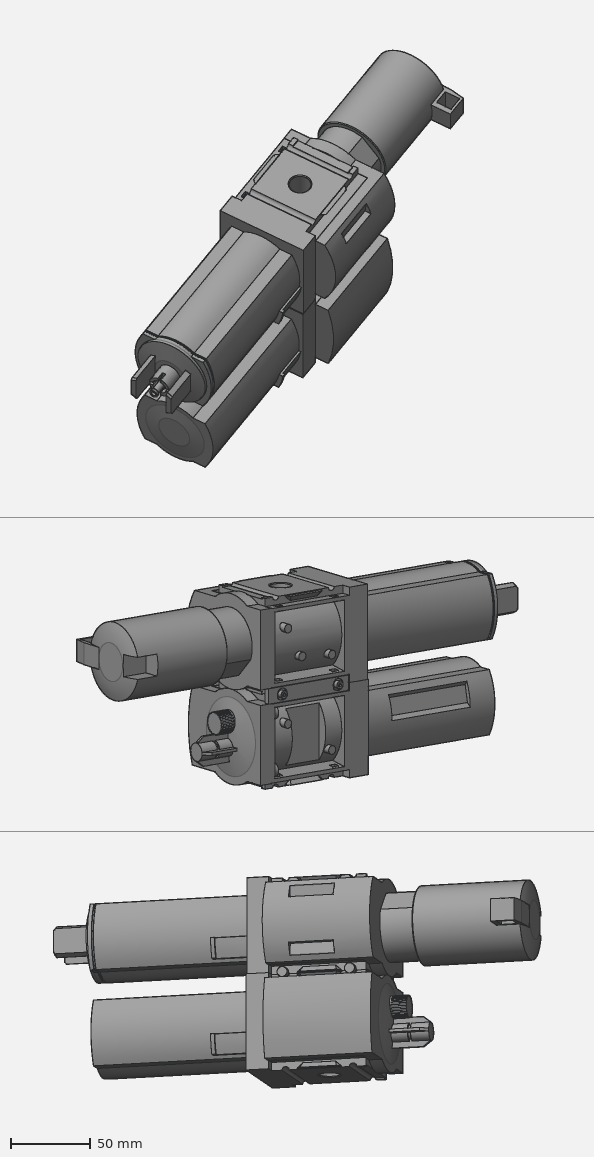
import cadquery as cq
import math


total_height = 124.0
unit_height = total_height / 2
half_height = unit_height / 2
housing_width = 62.0
half_width = housing_width / 2
housing_back = 85.0
front_block_end = 14.5
back_plate_start = 76.0
back_plate_drop = 5.0
side_strip_drop = 5.3
flange_radius = half_height
lower_front_step = 0.5

port_y = 45.5
port_half_width = 24.0
port_diameter = 13.7
port_mouth_diameter = 15.0
port_depth = 18.7
groove_half_width = 2.35
groove_depth = 2.2
groove_spacing = 44.3
groove_positions = [port_y - groove_spacing / 2, port_y + groove_spacing / 2]
rail_gap_half_width = 20.5
rail_gap_drop = 1.0
rail_gap_front = 70.0
tab_width = 3.0
tab_drop = 0.5
tab_depth = 3.5
tab_half_length = 14.7
tab_bevel = 2.5
screw_slot_start_x = -28.5
screw_slot_end_x = -25.0

barrel_half_width = 28.5
barrel_corner_x = 22.5
barrel_half_height = 21.2
tube_diameter = 50.2
tube_radius = tube_diameter / 2
barrel_bulge = barrel_half_width - barrel_corner_x
barrel_arc_radius = (barrel_half_height**2 + barrel_bulge**2) / (2 * barrel_bulge)
barrel_arc_offset = barrel_arc_radius - barrel_half_width

pocket_front = 18.5
pocket_back = 73.5
pocket_half_height = 23.0
core_radius = 28.5
core_half_height = 21.2
core_edge_x = math.sqrt(core_radius**2 - core_half_height**2)
pin_diameter = 5.5
upper_pin_places = [(63.0, 11.0), (51.8, -8.7), (28.0, -11.0)]
lower_pin_places = [(63.0, 11.0), (28.0, -11.0)]
label_front = 31.2
label_back = 57.7
label_half_height = 18.5
lug_radius = 4.5
lug_length = 3.7
lug_offset = 18.7
lug_depth = 5.3

cover_half_height = half_height - back_plate_drop
upper_cover_edge, upper_cover_crown = 38.0, 46.2
lower_cover_edge, lower_cover_crown = 40.5, 44.5
window_half_length = 14.7
window_inner_x = 40.3
window_floor = 14.7
window_top = 22.0
window_undercut = 1.0

latch_length = 24.0
latch_thickness = 1.5
catch_length = 2.5
catch_thickness = 2.8
latch_low = -19.0
latch_high = -6.2

upper_bowl_length = 105.5
rim_groove_y = -103.0
rim_groove_width = 1.2
rim_groove_depth = 1.0
rim_end = -107.3
dome_end = -109.2
dome_flat_radius = 11.0
leg_end = -131.7
leg_inner_x = 11.2
leg_outer_x = 15.0
leg_inner_half_height = 10.0
leg_outer_half_height = 8.0
leg_chamfer = 1.2
drain_diameter = 15.0
drain_bore = 10.0
drain_end = -122.0
drain_slot_count = 4
drain_slot_width = 2.2
drain_slot_depth = 5.5
stem_diameter = 5.0
stem_end = -129.0
stem_head_diameter = 5.5
stem_head_length = 2.0
stem_hole_diameter = 3.0

lower_bowl_length = 103.3
end_disc_radius = 21.8
end_face_radius = 11.5
end_disc_rise = 1.0
sight_front, sight_back = -83.5, -21.5
sight_low, sight_high = 0.5, 17.0
sight_depth = 2.8
sight_slope = 2.5

neck_radius = 22.0
neck_flat_distance = 20.3
knob_start = 106.7
knob_edge = 177.5
knob_end = 180.5
knob_diameter = 51.0
knob_radius = knob_diameter / 2
knob_end_radius = 12.5
knob_dome_radius = 19.0
knob_dome_y = 179.5
knob_chamfer = 0.5
slide_half_height = 7.2
slide_front = 162.3
slot_depth = 12.5
loop_outer_x = 39.0
loop_outer_back = 178.0
loop_bend_x = 28.7
loop_bend_back = 179.7
loop_hole_inner_x = 26.5
loop_hole_outer_x = 37.0
loop_hole_front = 166.0
loop_hole_back = 176.3

cap_radius = 25.5
cap_rise = 3.0
cap_sphere_radius = (cap_radius**2 + cap_rise**2) / (2 * cap_rise)
adjuster_z = -6.2
adjuster_end = 112.3
adjuster_core_radius = 6.0
fin_half_width = 9.7
fin_thickness = 2.0
fin_chamfer_length = 5.0
fin_chamfer_width = 3.7
adjuster_groove_y = 100.2
adjuster_groove_width = 2.0
adjuster_groove_radius = 4.7
filler_z = 10.3
filler_radius = 7.5
filler_end = 98.0
knurl_count = 24
knurl_diameter = 1.0

plate_front = 15.3
plate_back = 78.5
plate_inner_x = -port_half_width - tab_width
head_diameter = 5.0
head_recess_diameter = 7.8
head_recess_depth = 1.2
head_start_x = -half_width + head_recess_depth
head_end_x = -33.0
shank_diameter = 3.0
nut_diameter = 6.5
nut_start_x = 28.0
nut_end_x = 32.0
socket_diameter = 2.5
socket_depth = 1.5


def block(x0, x1, y0, y1, z0, z1):
    """Box between two corners."""
    return cq.Workplane("XY").box(x1 - x0, y1 - y0, z1 - z0, centered=False).translate((x0, y0, z0))


def rod_y(diameter, y0, y1, x=0, z=0):
    """Cylinder along Y from y0 to y1."""
    disc = cq.Workplane("XZ", origin=(x, y0, z)).circle(diameter / 2)
    return disc.extrude(y0 - y1)


def rod_x(diameter, x0, x1, y, z=0):
    """Cylinder along X from x0 to x1."""
    return cq.Workplane("YZ", origin=(x0, y, z)).circle(diameter / 2).extrude(x1 - x0)


def barrel(y0, y1, growth=0):
    """Flat-topped prism with two bulging sides, along Y; growth pushes the outline outward."""
    corner = barrel_corner_x + growth
    top = barrel_half_height + growth
    bulge = barrel_half_width + growth
    outline = (
        cq.Workplane("XZ", origin=(0, y0, 0))
        .moveTo(-corner, top)
        .lineTo(corner, top)
        .threePointArc((bulge, 0), (corner, -top))
        .lineTo(-corner, -top)
        .threePointArc((-bulge, 0), (-corner, top))
        .close()
    )
    return outline.extrude(y0 - y1)


def barrel_side_x(z):
    """Distance of the bulging barrel side from the axis plane at height z."""
    return math.sqrt(barrel_arc_radius**2 - z**2) - barrel_arc_offset


def port_face():
    """Raised port block on the +Z side: round cross grooves, edge rail and bevelled side tabs."""
    base = half_height - side_strip_drop
    raised = block(
        -port_half_width, port_half_width, front_block_end, back_plate_start, base, half_height
    )
    raised = raised.cut(
        block(
            -rail_gap_half_width, rail_gap_half_width, rail_gap_front, back_plate_start,
            half_height - rail_gap_drop, half_height,
        )
    )
    tab_reach = port_half_width + tab_width
    tab_taper = math.degrees(math.atan(tab_width / tab_depth))
    tab_outer_length = tab_half_length - tab_bevel
    tabs = (
        cq.Workplane("XY", origin=(0, port_y, half_height - tab_drop))
        .polyline([
            (-port_half_width, -tab_half_length),
            (port_half_width, -tab_half_length),
            (tab_reach, -tab_outer_length),
            (tab_reach, tab_outer_length),
            (port_half_width, tab_half_length),
            (-port_half_width, tab_half_length),
            (-tab_reach, tab_outer_length),
            (-tab_reach, -tab_outer_length),
        ])
        .close()
        .extrude(-tab_depth, taper=tab_taper)
    )
    raised = raised.union(tabs)
    for groove_y in groove_positions:
        groove = (
            cq.Workplane("YZ", origin=(-half_width, groove_y, half_height))
            .moveTo(-groove_half_width, 0)
            .threePointArc((0, -groove_depth), (groove_half_width, 0))
            .close()
            .extrude(housing_width)
        )
        raised = raised.cut(groove)
    return raised


def port_hole():
    """Blind port with a chamfered mouth, opening on the +Z side."""
    mouth_chamfer = (port_mouth_diameter - port_diameter) / 2
    bottom = cq.Workplane("XY", origin=(0, port_y, half_height - port_depth))
    hole = bottom.circle(port_diameter / 2).extrude(port_depth)
    mouth = (
        cq.Workplane("XY", origin=(0, port_y, half_height))
        .circle(port_mouth_diameter / 2)
        .extrude(-mouth_chamfer, taper=45)
    )
    return hole.union(mouth)


def screw_slots():
    """Slots from the +Z port face down into the side pocket, one under each screw."""
    slots = cq.Workplane("XY")
    for screw_y in groove_positions:
        slots = slots.add(
            block(
                screw_slot_start_x, screw_slot_end_x,
                screw_y - groove_half_width, screw_y + groove_half_width,
                core_half_height, half_height,
            )
        )
    return slots


def side_pocket():
    """Tapered pocket on the -X side that leaves the round core standing."""
    pocket = (
        cq.Workplane("XZ", origin=(0, pocket_front, 0))
        .polyline([
            (-half_width, -pocket_half_height),
            (-half_width, pocket_half_height),
            (-core_edge_x, core_half_height),
            (-core_edge_x, -core_half_height),
        ])
        .close()
        .extrude(pocket_front - pocket_back)
    )
    return pocket.cut(rod_y(2 * core_radius, pocket_front, pocket_back))


def cover(edge_x, crown_x):
    """Bulging cover on the +X side."""
    outline = (
        cq.Workplane("XZ", origin=(0, front_block_end, 0))
        .moveTo(half_width, -cover_half_height)
        .lineTo(edge_x, -cover_half_height)
        .threePointArc((crown_x, 0), (edge_x, cover_half_height))
        .lineTo(half_width, cover_half_height)
        .close()
    )
    return outline.extrude(front_block_end - housing_back)


def cover_windows():
    """Ledges cut into the top and bottom of the cover bulge."""
    window_front = port_y - window_half_length
    ledge = (
        cq.Workplane("XZ", origin=(0, window_front, 0))
        .polyline([
            (window_inner_x, cover_half_height),
            (window_inner_x, window_top),
            (window_inner_x - window_undercut, window_floor),
            (upper_cover_crown, window_floor),
            (upper_cover_crown, cover_half_height),
        ])
        .close()
        .extrude(-2 * window_half_length)
    )
    return ledge.union(ledge.mirror("XY"))


def latch():
    """Bowl release latch on the lower +X side, ending in a thicker catch."""
    zone = block(barrel_corner_x, half_width + catch_thickness, -latch_length, 0, latch_low, latch_high)
    strip = barrel(-latch_length, 0, latch_thickness)
    catch = barrel(-latch_length, catch_length - latch_length, catch_thickness)
    return strip.union(catch).intersect(zone)


def housing(front_y, pin_places):
    """Housing block with ports on top and bottom, side pocket and pocket pins."""
    strip_half_height = half_height - side_strip_drop
    plate_half_height = half_height - back_plate_drop
    body = block(-half_width, half_width, front_y, front_block_end, -half_height, half_height)
    body = body.union(
        block(
            -half_width, half_width, front_block_end, back_plate_start,
            -strip_half_height, strip_half_height,
        )
    )
    body = body.union(
        block(
            -half_width, half_width, back_plate_start, housing_back,
            -plate_half_height, plate_half_height,
        )
    )
    body = body.union(rod_y(2 * flange_radius, back_plate_start, housing_back))
    body = body.union(port_face()).union(port_face().mirror("XY"))
    body = body.cut(port_hole()).cut(port_hole().mirror("XY"))
    body = body.cut(screw_slots()).cut(screw_slots().mirror("XY"))
    body = body.cut(side_pocket())
    for pin_y, pin_z in pin_places:
        body = body.union(rod_x(pin_diameter, -half_width, -core_edge_x, pin_y, pin_z))
    return body


def screw_clearance():
    """Passages for both connector screws along the port face at z = 0."""
    passages = cq.Workplane("XY")
    for screw_y in groove_positions:
        passages = passages.add(rod_x(shank_diameter, -half_width, half_width, screw_y))
    return passages


def upper_bowl():
    """Filter bowl with a grooved rim and a domed end."""
    bowl = barrel(-upper_bowl_length, 0).union(rod_y(tube_diameter, -upper_bowl_length, 0))
    groove_back = rim_groove_y + rim_groove_width
    groove_core = barrel(rim_groove_y, groove_back, -rim_groove_depth).union(
        rod_y(tube_diameter - 2 * rim_groove_depth, rim_groove_y, groove_back)
    )
    bowl = bowl.cut(rod_y(2 * housing_width, rim_groove_y, groove_back).cut(groove_core))
    end = (
        cq.Workplane("XY")
        .moveTo(0, -upper_bowl_length)
        .lineTo(tube_radius, -upper_bowl_length)
        .lineTo(tube_radius, rim_end)
        .lineTo(dome_flat_radius, dome_end)
        .lineTo(0, dome_end)
        .close()
        .revolve(360, (0, 0, 0), (0, 1, 0))
    )
    return bowl.union(end)


def guard_legs():
    """Two plates that guard the drain, one on each side."""
    leg = (
        cq.Workplane("XZ", origin=(0, leg_end, 0))
        .polyline([
            (leg_inner_x, -leg_inner_half_height),
            (leg_outer_x, -leg_outer_half_height),
            (leg_outer_x, leg_outer_half_height),
            (leg_inner_x, leg_inner_half_height),
        ])
        .close()
        .extrude(leg_end + upper_bowl_length)
    )
    corners = leg.faces("<Y").edges("<Z or >Z")
    leg = corners.chamfer(leg_chamfer)
    return leg.union(leg.mirror("YZ"))


def drain():
    """Slotted drain sleeve around a headed stem."""
    sleeve_bore = rod_y(drain_bore, drain_end, drain_end + drain_slot_depth)
    sleeve = rod_y(drain_diameter, drain_end, rim_end).cut(sleeve_bore)
    for index in range(drain_slot_count):
        slot = block(
            0, drain_diameter, drain_end, drain_end + drain_slot_depth,
            -drain_slot_width / 2, drain_slot_width / 2,
        )
        angle = index * 360 / drain_slot_count
        sleeve = sleeve.cut(slot.rotate((0, 0, 0), (0, 1, 0), angle))
    stem = rod_y(stem_diameter, stem_end, rim_end)
    head = rod_y(stem_head_diameter, stem_end, stem_end + stem_head_length)
    hole = rod_y(stem_hole_diameter, stem_end, drain_end)
    return sleeve.union(stem).union(head).cut(hole)


def lower_bowl():
    """Oil bowl with a stepped end and a sight recess on the -X side."""
    bowl = barrel(-lower_bowl_length, 0).union(rod_y(tube_diameter, -lower_bowl_length, 0))
    end = (
        cq.Workplane("XY")
        .moveTo(0, -lower_bowl_length)
        .lineTo(end_disc_radius, -lower_bowl_length)
        .lineTo(end_face_radius, -lower_bowl_length - end_disc_rise)
        .lineTo(0, -lower_bowl_length - end_disc_rise)
        .close()
        .revolve(360, (0, 0, 0), (0, 1, 0))
    )
    floor_low = sight_low + sight_slope
    floor_high = sight_high - sight_slope
    sight = (
        cq.Workplane("XZ", origin=(0, sight_front, 0))
        .moveTo(-barrel_side_x(sight_low), sight_low)
        .lineTo(sight_depth - barrel_side_x(floor_low), floor_low)
        .lineTo(sight_depth - barrel_side_x(floor_high), floor_high)
        .lineTo(-barrel_side_x(sight_high), sight_high)
        .lineTo(-half_width, sight_high)
        .lineTo(-half_width, sight_low)
        .close()
        .extrude(sight_front - sight_back)
    )
    return bowl.union(end).cut(sight)


def neck():
    """Round neck with two wrench flats facing up-right and down-left."""
    round_neck = rod_y(2 * neck_radius, housing_back, knob_start)
    flats = block(
        -neck_flat_distance, neck_flat_distance, housing_back, knob_start, -neck_radius, neck_radius
    )
    return round_neck.intersect(flats.rotate((0, 0, 0), (0, 1, 0), -45))


def knob():
    """Pressure knob with a domed end, a lock slot on -X and the lock loop on +X."""
    body = (
        cq.Workplane("XY")
        .moveTo(0, knob_start)
        .lineTo(knob_radius - knob_chamfer, knob_start)
        .lineTo(knob_radius, knob_start + knob_chamfer)
        .lineTo(knob_radius, knob_edge)
        .threePointArc((knob_dome_radius, knob_dome_y), (knob_end_radius, knob_end))
        .lineTo(0, knob_end)
        .close()
        .revolve(360, (0, 0, 0), (0, 1, 0))
    )
    slot = block(
        -knob_radius, slot_depth - knob_radius, slide_front, knob_end,
        -slide_half_height, slide_half_height,
    )
    loop = (
        cq.Workplane("XY", origin=(0, 0, -slide_half_height))
        .polyline([
            (knob_end_radius, slide_front),
            (loop_outer_x, slide_front),
            (loop_outer_x, loop_outer_back),
            (loop_bend_x, loop_bend_back),
            (knob_end_radius, knob_end),
        ])
        .close()
        .extrude(2 * slide_half_height)
    )
    loop_hole = block(
        loop_hole_inner_x, loop_hole_outer_x, loop_hole_front, loop_hole_back,
        -slide_half_height, slide_half_height,
    )
    return body.cut(slot).union(loop).cut(loop_hole)


def back_cap():
    """Shallow dome that closes the back of the lower housing."""
    sphere_center = housing_back + cap_rise - cap_sphere_radius
    sphere = cq.Workplane("XY").sphere(cap_sphere_radius).translate((0, sphere_center, 0))
    return sphere.intersect(rod_y(2 * cap_radius, housing_back, housing_back + cap_rise))


def adjuster():
    """Oil adjuster: a grooved core with four fins in a cross."""
    core = rod_y(2 * adjuster_core_radius, housing_back, adjuster_end)
    groove_end = adjuster_groove_y - adjuster_groove_width
    groove = rod_y(2 * fin_half_width, groove_end, adjuster_groove_y).cut(
        rod_y(2 * adjuster_groove_radius, groove_end, adjuster_groove_y)
    )
    core = core.cut(groove)
    fin = (
        cq.Workplane("YZ", origin=(-fin_thickness / 2, 0, 0))
        .polyline([
            (housing_back, -fin_half_width),
            (adjuster_end - fin_chamfer_length, -fin_half_width),
            (adjuster_end, fin_chamfer_width - fin_half_width),
            (adjuster_end, fin_half_width - fin_chamfer_width),
            (adjuster_end - fin_chamfer_length, fin_half_width),
            (housing_back, fin_half_width),
        ])
        .close()
        .extrude(fin_thickness)
    )
    cross = fin.union(fin.rotate((0, 0, 0), (0, 1, 0), 90))
    return core.union(cross).translate((0, 0, adjuster_z))


def filler():
    """Knurled filler plug."""
    plug = rod_y(2 * filler_radius, housing_back, filler_end)
    for index in range(knurl_count):
        angle = 2 * math.pi * index / knurl_count
        flute_x = filler_radius * math.cos(angle)
        flute_z = filler_radius * math.sin(angle)
        plug = plug.cut(rod_y(knurl_diameter, housing_back + cap_rise, filler_end, flute_x, flute_z))
    return plug.translate((0, 0, filler_z))


def label_recess():
    """Flat label face cut across the pocket core."""
    label_x = -math.sqrt(core_radius**2 - label_half_height**2)
    return block(
        -half_width, label_x, label_front, label_back,
        -label_half_height, label_half_height,
    )


def pocket_lugs():
    """Rounded lugs in the two back corners of the side pocket."""
    lug_x = lug_depth - half_width
    upper = rod_y(2 * lug_radius, pocket_back - lug_length, pocket_back, lug_x, lug_offset)
    return upper.union(upper.mirror("XY"))


def filter_regulator():
    """Upper unit: housing, filter bowl with drain, and pressure knob."""
    unit = housing(0, upper_pin_places)
    unit = unit.union(cover(upper_cover_edge, upper_cover_crown).cut(cover_windows()))
    unit = unit.union(upper_bowl()).union(guard_legs()).union(drain()).union(latch())
    unit = unit.union(neck()).union(knob())
    return unit.translate((0, 0, half_height)).cut(screw_clearance())


def lubricator():
    """Lower unit: housing, oil bowl, and adjuster with filler."""
    unit = housing(-lower_front_step, lower_pin_places).cut(label_recess())
    unit = unit.union(pocket_lugs())
    unit = unit.union(cover(lower_cover_edge, lower_cover_crown))
    unit = unit.union(lower_bowl()).union(latch())
    unit = unit.union(back_cap()).union(filler()).union(adjuster())
    return unit.translate((0, 0, -half_height)).cut(screw_clearance())


def connector_plate():
    """Clamping plate in the -X gap between the units, with recessed screw holes."""
    plate = block(
        -half_width, plate_inner_x, plate_front, plate_back, -back_plate_drop, back_plate_drop
    )
    for screw_y in groove_positions:
        plate = plate.cut(rod_x(shank_diameter, -half_width, plate_inner_x, screw_y))
        plate = plate.cut(rod_x(head_recess_diameter, -half_width, head_start_x, screw_y))
    return plate


def connector_screw(screw_y):
    """Socket-head screw through the connector plate, with its foot on the +X side."""
    screw = rod_x(shank_diameter, head_start_x, nut_start_x, screw_y)
    screw = screw.union(rod_x(head_diameter, head_end_x, head_start_x, screw_y))
    screw = screw.union(rod_x(nut_diameter, nut_start_x, nut_end_x, screw_y))
    socket = (
        cq.Workplane("YZ", origin=(head_end_x, screw_y, 0))
        .polygon(6, socket_diameter)
        .extrude(socket_depth)
    )
    return screw.cut(socket)


screws = [connector_screw(screw_y) for screw_y in groove_positions]

result = cq.Compound.makeCompound([
    filter_regulator().val(),
    lubricator().val(),
    connector_plate().val(),
    *[screw.val() for screw in screws],
])